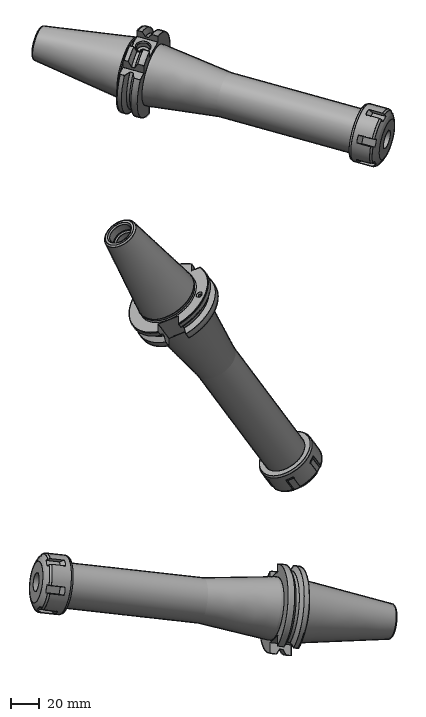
import cadquery as cq

TOTAL_LENGTH = 263.5

TAPER_LENGTH = 68.5
TAPER_SMALL_RADIUS = 12.5
GAUGE_RADIUS = 22.5
TAPER_END_CHAMFER = 1.0

RELIEF_RADIUS = 21.5
RELIEF_RAMP = 0.8

FLANGE_START = 71.7
FLANGE_END = 87.5
FLANGE_RADIUS = 31.5
FRONT_BEVEL = 0.8
REAR_BEVEL = 1.5
BEVEL_DEPTH = 0.3
GROOVE_START = 75.5
GROOVE_END = 82.7
GROOVE_FLOOR_RADIUS = 28.0
GROOVE_WALL_RUN = 2.5

DRIVE_SLOT_WIDTH = 16.0
UPPER_SLOT_HEIGHT = 24.8
LOWER_SLOT_HEIGHT = 22.7
NOTCH_OFFSET = 18.5

POCKET_RADIUS = 4.7
POCKET_DEPTH = 4.5
PILOT_RADIUS = 1.3
PILOT_DEPTH = 2.0
POCKET_CHAMFER = 0.8

COOLANT_RADIUS = 1.3
COOLANT_CHAMFER = 1.0
COOLANT_CIRCLE_RADIUS = 26.4
COOLANT_ANGLE = 20.3
COOLANT_DEPTH = 4.0

COLLAR_END = 89.3
CONE_END = 141.5
EXTENSION_RADIUS = 16.0

BORE_RADIUS = 6.5
COUNTERBORE_RADIUS = 8.5
COUNTERBORE_DEPTH = 6.9
BORE_STEP_CHAMFER = 1.0
BORE_MOUTH_CHAMFER = 1.0

NUT_START = 243.0
NUT_RADIUS = 21.0
NUT_BACK_CHAMFER = 1.5
NUT_BACK_CHAMFER_DEPTH = 0.8
NUT_FRONT_BEVEL_START = 258.8
NUT_SHOULDER_X = 260.3
NUT_SHOULDER_RADIUS = 20.3
NUT_RIM_X = 262.5
NUT_RIM_RADIUS = 17.0
NUT_FACE_RADIUS = 14.8
NUT_LIP_THICKNESS = 5.3
NOSE_END = TOTAL_LENGTH - NUT_LIP_THICKNESS

SPANNER_SLOT_COUNT = 6
SPANNER_SLOT_WIDTH = 5.8
SPANNER_SLOT_DEPTH = 2.5
SPANNER_SLOT_START = 248.2
SPANNER_SLOT_RUNOUT = 3.2
SPANNER_SLOT_TURN = -2.0


def revolve_about_x(points):
    """Solid of revolution from (x, radius) points."""
    return cq.Workplane("XY").polyline(points).close().revolve(360, (0, 0, 0), (1, 0, 0))


def box_between(x_range, y_range, z_range):
    """Axis-aligned box given by its limits."""
    sizes = [high - low for low, high in (x_range, y_range, z_range)]
    corner = (x_range[0], y_range[0], z_range[0])
    return cq.Workplane("XY").box(*sizes, centered=False).translate(corner)


def turned_holder():
    slope = (GAUGE_RADIUS - TAPER_SMALL_RADIUS) / TAPER_LENGTH
    chamfer_radius = TAPER_SMALL_RADIUS + slope * TAPER_END_CHAMFER
    bevel_radius = FLANGE_RADIUS - BEVEL_DEPTH
    return revolve_about_x([
        (0, 0),
        (0, TAPER_SMALL_RADIUS - TAPER_END_CHAMFER),
        (TAPER_END_CHAMFER, chamfer_radius),
        (TAPER_LENGTH, GAUGE_RADIUS),
        (TAPER_LENGTH + RELIEF_RAMP, RELIEF_RADIUS),
        (FLANGE_START - RELIEF_RAMP, RELIEF_RADIUS),
        (FLANGE_START, GAUGE_RADIUS),
        (FLANGE_START, bevel_radius),
        (FLANGE_START + FRONT_BEVEL, FLANGE_RADIUS),
        (GROOVE_START, FLANGE_RADIUS),
        (GROOVE_START + GROOVE_WALL_RUN, GROOVE_FLOOR_RADIUS),
        (GROOVE_END - GROOVE_WALL_RUN, GROOVE_FLOOR_RADIUS),
        (GROOVE_END, FLANGE_RADIUS),
        (FLANGE_END - REAR_BEVEL, FLANGE_RADIUS),
        (FLANGE_END, bevel_radius),
        (FLANGE_END, GAUGE_RADIUS),
        (COLLAR_END, GAUGE_RADIUS),
        (CONE_END, EXTENSION_RADIUS),
        (NOSE_END, EXTENSION_RADIUS),
        (NOSE_END, 0),
    ])


def bore():
    return revolve_about_x([
        (0, 0),
        (0, COUNTERBORE_RADIUS + BORE_MOUTH_CHAMFER),
        (BORE_MOUTH_CHAMFER, COUNTERBORE_RADIUS),
        (COUNTERBORE_DEPTH, COUNTERBORE_RADIUS),
        (COUNTERBORE_DEPTH, BORE_RADIUS + BORE_STEP_CHAMFER),
        (COUNTERBORE_DEPTH + BORE_STEP_CHAMFER, BORE_RADIUS),
        (TOTAL_LENGTH, BORE_RADIUS),
        (TOTAL_LENGTH, 0),
    ])


def flange_cutouts():
    flange_span = (FLANGE_START, FLANGE_END)
    slot_span = (-DRIVE_SLOT_WIDTH / 2, DRIVE_SLOT_WIDTH / 2)
    upper_slot = box_between(flange_span, slot_span, (UPPER_SLOT_HEIGHT, FLANGE_RADIUS))
    lower_slot = box_between(flange_span, slot_span, (-FLANGE_RADIUS, -LOWER_SLOT_HEIGHT))
    notch = box_between(flange_span, (-FLANGE_RADIUS, -NOTCH_OFFSET), (NOTCH_OFFSET, FLANGE_RADIUS))
    return [upper_slot, lower_slot, notch]


def chamfered_hole(radius, depth, chamfer):
    """Blind hole cutter: mouth at the origin, running down -Z."""
    profile = [
        (0, 0),
        (radius + chamfer, 0),
        (radius, -chamfer),
        (radius, -depth),
        (0, -depth),
    ]
    return cq.Workplane("XZ").polyline(profile).close().revolve(360, (0, 0, 0), (0, 1, 0))


def slot_pocket():
    """Flat-bottomed pocket with a pilot hole, sunk into the upper drive slot."""
    middle = (FLANGE_START + FLANGE_END) / 2
    pocket = chamfered_hole(POCKET_RADIUS, POCKET_DEPTH, POCKET_CHAMFER)
    pilot = chamfered_hole(PILOT_RADIUS, PILOT_DEPTH, POCKET_CHAMFER).translate((0, 0, -POCKET_DEPTH))
    return pocket.union(pilot).translate((middle, 0, UPPER_SLOT_HEIGHT))


def coolant_holes():
    """Two opposite blind holes in the front face of the flange."""
    hole = chamfered_hole(COOLANT_RADIUS, COOLANT_DEPTH, COOLANT_CHAMFER)
    hole = hole.rotate((0, 0, 0), (0, 1, 0), -90)
    hole = hole.translate((FLANGE_START, COOLANT_CIRCLE_RADIUS, 0))
    angles = (COOLANT_ANGLE, COOLANT_ANGLE + 180)
    return [hole.rotate((0, 0, 0), (1, 0, 0), angle) for angle in angles]


def make_holder():
    holder = turned_holder().cut(bore()).cut(slot_pocket())
    for cutout in flange_cutouts() + coolant_holes():
        holder = holder.cut(cutout)
    return holder


def turned_nut():
    return revolve_about_x([
        (NUT_START, EXTENSION_RADIUS),
        (NUT_START, NUT_RADIUS - NUT_BACK_CHAMFER_DEPTH),
        (NUT_START + NUT_BACK_CHAMFER, NUT_RADIUS),
        (NUT_FRONT_BEVEL_START, NUT_RADIUS),
        (NUT_SHOULDER_X, NUT_SHOULDER_RADIUS),
        (NUT_RIM_X, NUT_RIM_RADIUS),
        (TOTAL_LENGTH, NUT_FACE_RADIUS),
        (TOTAL_LENGTH, BORE_RADIUS),
        (NOSE_END, BORE_RADIUS),
        (NOSE_END, EXTENSION_RADIUS),
    ])


def spanner_slot():
    """Slot open at the front face, with a sloping run-out at its back end."""
    floor_radius = NUT_RADIUS - SPANNER_SLOT_DEPTH
    profile = [
        (SPANNER_SLOT_START, NUT_RADIUS),
        (SPANNER_SLOT_START + SPANNER_SLOT_RUNOUT, floor_radius),
        (TOTAL_LENGTH, floor_radius),
        (TOTAL_LENGTH, NUT_RADIUS),
    ]
    return cq.Workplane("XZ").polyline(profile).close().extrude(SPANNER_SLOT_WIDTH / 2, both=True)


def make_nut():
    nut = turned_nut()
    for index in range(SPANNER_SLOT_COUNT):
        angle = SPANNER_SLOT_TURN + index * 360 / SPANNER_SLOT_COUNT
        nut = nut.cut(spanner_slot().rotate((0, 0, 0), (1, 0, 0), angle))
    return nut


holder = make_holder()
nut = make_nut()

result = cq.Compound.makeCompound([holder.val(), nut.val()])